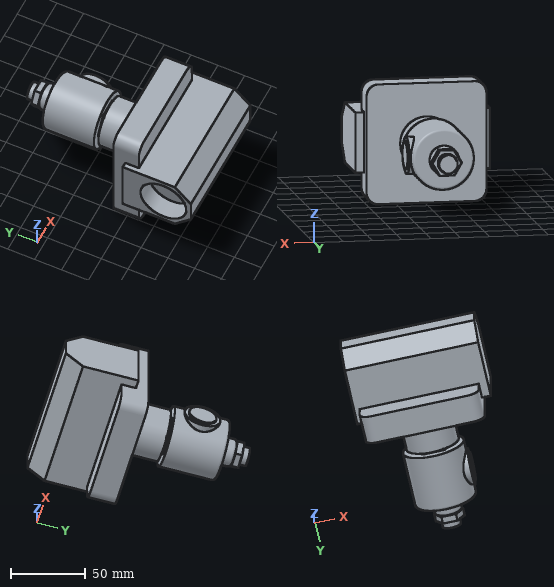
import cadquery as cq


block_length = 92.0
block_height = 41.1
block_back = 50.8
block_left_overhang = 4.0
block_chamfer = 12.0
bore_diameter = 34.1
bore_depth = 14.0
bore_center_y = 20.5

flange_size = 82.0
flange_thickness = 19.0
flange_back = 59.7
flange_corner_radius = 8.0

boss_diameter = 36.0
boss_back = 82.0

collar_back = 83.9
housing_back = 122.9
neck_back = 131.1
nut_back = 135.9
sensor_back = 140.8

collar_across_corners = 29.4
housing_diameter = 42.0
housing_rounding = 2.0
neck_diameter = 19.1
neck_rounding = 2.0
nut_across_corners = 20.0
tip_diameter = 12.7

port_center_y = 103.0
port_diameter = 25.0
port_reach = 21.8
port_face_diameter = 19.1
port_face_reach = 22.8

block_left = -flange_size / 2 - block_left_overhang


def section_at(y):
    """Workplane across the sensor axis at station y, extruding toward +Y."""
    return cq.Workplane("XZ", origin=(0, y, 0)).transformed(rotate=(180, 0, 0))


def cylinder(start, end, diameter):
    return section_at(start).circle(diameter / 2).extrude(end - start)


def hexagon(start, end, across_corners):
    return section_at(start).polygon(6, across_corners).extrude(end - start)


def make_block():
    block = (
        cq.Workplane("XY")
        .box(block_length, block_back, block_height, centered=(False, False, True))
        .translate((block_left, 0, 0))
    )
    return block.faces("<Y").edges("|X").chamfer(block_chamfer)


def make_flange():
    flange = section_at(flange_back - flange_thickness).rect(flange_size, flange_size)
    return flange.extrude(flange_thickness).edges("|Y").fillet(flange_corner_radius)


def make_bore():
    start = cq.Workplane("YZ", origin=(block_left, bore_center_y, 0))
    return start.circle(bore_diameter / 2).extrude(bore_depth)


def make_mount():
    boss = cylinder(flange_back, boss_back, boss_diameter)
    return make_block().union(make_flange()).union(boss).cut(make_bore())


def make_side_port():
    start = cq.Workplane("YZ", origin=(0, port_center_y, 0))
    port = start.circle(port_diameter / 2).extrude(port_reach)
    port_face = start.circle(port_face_diameter / 2).extrude(port_face_reach)
    return port.union(port_face)


def make_sensor():
    collar = hexagon(boss_back, collar_back, collar_across_corners)
    housing = cylinder(collar_back, housing_back, housing_diameter)
    housing = housing.faces(">Y").edges().fillet(housing_rounding)
    neck = cylinder(housing_back, neck_back, neck_diameter)
    neck = neck.faces(">Y").edges().fillet(neck_rounding)
    nut = hexagon(neck_back, nut_back, nut_across_corners)
    tip = cylinder(nut_back, sensor_back, tip_diameter)
    sensor = collar.union(housing).union(make_side_port())
    return sensor.union(neck).union(nut).union(tip)


mount = make_mount()
sensor = make_sensor()
result = cq.Compound.makeCompound([mount.val(), sensor.val()])